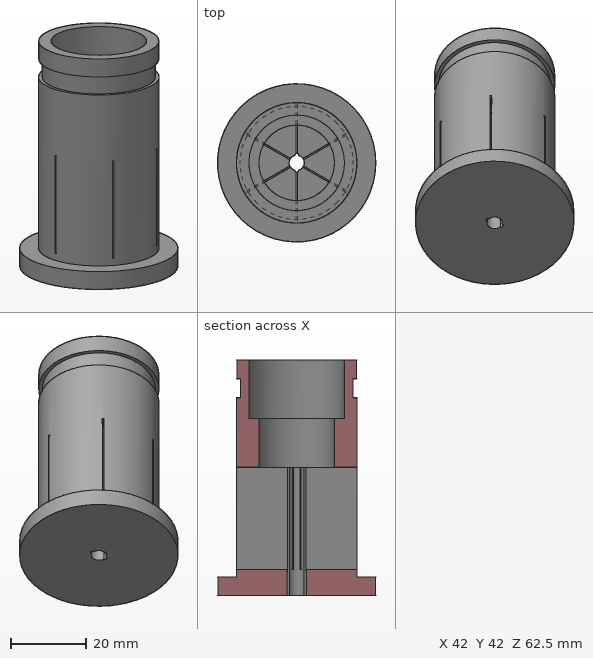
import cadquery as cq

total_height = 62.5
flange_height = 5.0
collar_height = 5.0
groove_height = 5.0

flange_diameter = 42.0
body_diameter = 32.0
collar_diameter = 31.9
groove_diameter = 30.0

upper_bore_diameter = 25.3
upper_bore_depth = 15.5
lower_bore_diameter = 20.0
center_hole_diameter = 4.0

notch_diameter = 1.0
notch_offset = center_hole_diameter / 2

slit_count = 6
slit_width = 0.4
slit_bottom = 7.0
slit_top = 34.0
slit_overrun = 0.6
slit_spacing = 360 / slit_count
first_slit_angle = slit_spacing / 2

lower_bore_floor = slit_top
upper_bore_floor = total_height - upper_bore_depth
collar_bottom = total_height - collar_height
groove_bottom = collar_bottom - groove_height


def cylinder(diameter, bottom, top):
    """Upright cylinder centred on the Z axis."""
    return cq.Workplane("XY").workplane(offset=bottom).circle(diameter / 2).extrude(top - bottom)


def radial_slit(angle):
    """Thin upright blade from the axis through the body wall at the given angle."""
    reach = body_diameter / 2 + slit_overrun
    blade = (
        cq.Workplane("XY")
        .workplane(offset=slit_bottom)
        .rect(reach, slit_width)
        .extrude(slit_top - slit_bottom)
        .translate((reach / 2, 0, 0))
    )
    return blade.rotate((0, 0, 0), (0, 0, 1), angle)


sleeve = cylinder(flange_diameter, 0, flange_height)
sleeve = sleeve.union(cylinder(body_diameter, flange_height, groove_bottom))
sleeve = sleeve.union(cylinder(groove_diameter, groove_bottom, collar_bottom))
sleeve = sleeve.union(cylinder(collar_diameter, collar_bottom, total_height))

sleeve = sleeve.cut(cylinder(upper_bore_diameter, upper_bore_floor, total_height))
sleeve = sleeve.cut(cylinder(lower_bore_diameter, lower_bore_floor, upper_bore_floor))
sleeve = sleeve.cut(cylinder(center_hole_diameter, 0, lower_bore_floor))

for side in (1, -1):
    notch = cylinder(notch_diameter, 0, lower_bore_floor)
    sleeve = sleeve.cut(notch.translate((0, side * notch_offset, 0)))

for index in range(slit_count):
    sleeve = sleeve.cut(radial_slit(first_slit_angle + index * slit_spacing))

result = sleeve